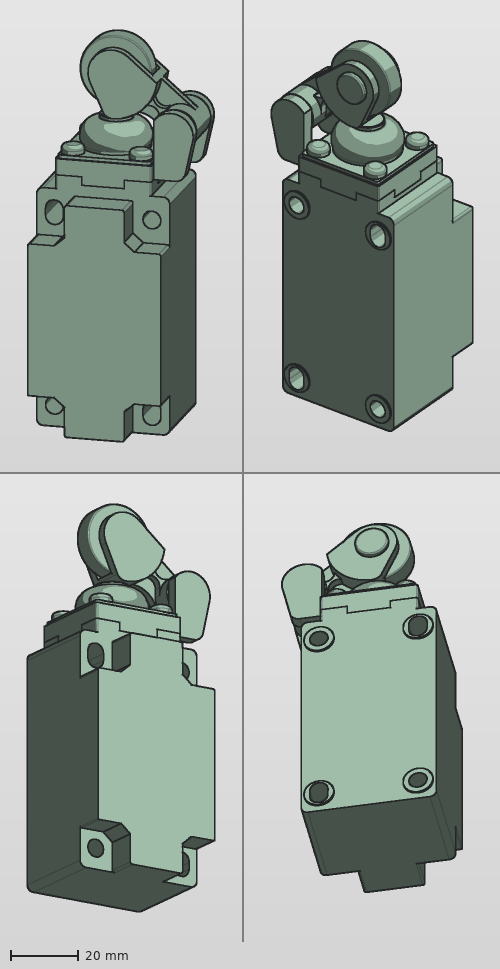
import cadquery as cq
import math


HOUSING_WIDTH = 41.0
HOUSING_HEIGHT = 74.0
HOUSING_CORNER = 2.0
BACK_Y = 14.8
BODY_FRONT_Y = -BACK_Y
COVER_FRONT_Y = -24.8

COVER_TOP = 72.0
COVER_NECK_WIDTH = 18.4
COVER_LEDGE_LOW = 12.0
COVER_LEDGE_HIGH = 59.3
COVER_BEVEL_WIDTH = 3.2
COVER_BEVEL_HEIGHT = 2.7
COVER_ROUNDING = 0.7
COVER_LOW_LEDGE_ROUNDING = 0.4

HOLE_X = 15.0
HOLE_LOW_Z = 6.6
HOLE_HIGH_Z = 66.6
HOLE_DIAMETER = 5.5
SLOT_LENGTH = 7.6
PAD_DIAMETER = 9.1
PAD_HEIGHT = 0.6

NECK_DEPTH = BACK_Y - BODY_FRONT_Y
NECK_WIDTH = NECK_DEPTH
NECK_ROUNDING = 0.5
JOINT_Z = 78.3
TONGUE_WIDTH = 13.1
TONGUE_HEIGHT = 2.6

HEAD_TOP = 83.3
PLATE_SIZE = 28.4
PLATE_TOP = 84.3
PLATE_CORNER = 1.0
SCREW_PITCH = 21.0
SCREW_RADIUS = 3.5
SCREW_TOP = 87.1
SCREW_ROUNDING = 1.4
DOME_BASE_Z = 85.3
DOME_TOP = 93.2
DOME_RADIUS = 11.0
DOME_CURVE_RADIUS = 5.6
PLUNGER_RADIUS = 5.0
PLUNGER_TOP = 94.5
PLUNGER_CHAMFER = 0.2

HUB_X = 20.6
HUB_Z = 92.9
HUB_RADIUS = 6.3
HUB_HALF_LENGTH = 7.9
EAR_INNER_Y = 8.1
EAR_OUTER_Y = 11.9
EAR_SIDE_TILT = 12.5
EAR_TOP_X = 20.2
EAR_TOP_Z = 92.5
EAR_TOP_RADIUS = 6.8
EAR_FOOT_ROUNDING = 3.1

ROLLER_X = 0.6
ROLLER_Z = 108.3
ROLLER_RADIUS = 11.0
ROLLER_WIDTH = 6.1
ROLLER_ROUNDING = 0.4
PIN_RADIUS = 3.2
PIN_HEAD_RADIUS = 5.0
PIN_HEAD_HEIGHT = 1.5
PIN_HEAD_ROUNDING = 0.5
FORK_WIDTH = 13.2
FORK_SLOT_WIDTH = 7.6
FORK_SLOT_RADIUS = 11.7
FORK_TIP_RADIUS = 7.5
FORK_END_RADIUS = 13.8
FORK_LEFT_TILT = 24.0
FORK_TOE_ROUNDING = 3.0

WEB_THICKNESS = 2.9
WEB_ARCH_X = 6.2
WEB_ARCH_Z = 86.6
WEB_ARCH_RADIUS = 9.1
LINK_WIDTH = 7.8
LINK_UPPER_X = 15.7
LINK_UPPER_Z = 101.4
LINK_UPPER_RADIUS = 3.2
LINK_UPPER_END_ANGLE = 294.0
LINK_LOWER_X = 11.2
LINK_LOWER_Z = 95.5
LINK_LOWER_RADIUS = 3.1
LINK_OVERLAP = 1.2


def polar(x, z, radius, degrees):
    """Point at an angle on a circle in the XZ plane."""
    angle = math.radians(degrees)
    return (x + radius * math.cos(angle), z + radius * math.sin(angle))


def front_plane(y):
    """XZ sketch plane at the given Y; its extrusions run toward -Y."""
    return cq.Workplane("XZ", origin=(0, y, 0))


def disc(x, z, radius, y_low, y_high):
    """Cylinder along Y."""
    return front_plane(y_high).center(x, z).circle(radius).extrude(y_high - y_low)


def neck_block(z_low, z_high):
    """Square block with rounded upright edges, shared by the housing neck and the head."""
    return (
        cq.Workplane("XY", origin=(0, 0, z_low))
        .rect(NECK_WIDTH, NECK_DEPTH)
        .extrude(z_high - z_low)
        .edges("|Z")
        .fillet(NECK_ROUNDING)
    )


def cross_tongue():
    """Two crossed bars that key the head into the neck of the housing."""
    plane = cq.Workplane("XY", origin=(0, 0, JOINT_Z))
    along_x = plane.rect(NECK_WIDTH, TONGUE_WIDTH).extrude(-TONGUE_HEIGHT)
    along_y = plane.rect(TONGUE_WIDTH, NECK_DEPTH).extrude(-TONGUE_HEIGHT)
    return along_x.union(along_y)


def housing_cover():
    """Raised front of the housing, cut back at its four corners around the mounting holes."""
    half = HOUSING_WIDTH / 2
    neck = COVER_NECK_WIDTH / 2
    bevel_x = neck + COVER_BEVEL_WIDTH
    bevel_low = COVER_LEDGE_LOW - COVER_BEVEL_HEIGHT
    bevel_high = COVER_LEDGE_HIGH + COVER_BEVEL_HEIGHT
    right_side = [
        (neck, 0),
        (neck, bevel_low),
        (bevel_x, COVER_LEDGE_LOW),
        (half, COVER_LEDGE_LOW),
        (half, COVER_LEDGE_HIGH),
        (bevel_x, COVER_LEDGE_HIGH),
        (neck, bevel_high),
        (neck, COVER_TOP),
    ]
    left_side = [(-x, z) for x, z in reversed(right_side)]
    cover = (
        front_plane(BODY_FRONT_Y)
        .polyline(right_side + left_side)
        .close()
        .extrude(BODY_FRONT_Y - COVER_FRONT_Y)
    )
    end_edges = cover.edges("|Y and (<Z or >Z)").vals()
    ledge_edges = cover.edges("|Y and (<X or >X)")
    high_ledge_edges = ledge_edges.edges(">Z").vals()
    cover = cover.newObject(end_edges + high_ledge_edges).fillet(COVER_ROUNDING)
    for x in (-half, half):
        corner = cq.selectors.NearestToPointSelector((x, BODY_FRONT_Y, COVER_LEDGE_LOW))
        cover = cover.edges("|Y").edges(corner).fillet(COVER_LOW_LEDGE_ROUNDING)
    return cover


def mounting_holes():
    """Two round holes and two upright slots on opposite diagonals, through the whole depth."""
    depth = BACK_Y + PAD_HEIGHT - BODY_FRONT_Y
    plane = front_plane(BACK_Y + PAD_HEIGHT)
    round_holes = (
        plane.pushPoints([(-HOLE_X, HOLE_LOW_Z), (HOLE_X, HOLE_HIGH_Z)])
        .circle(HOLE_DIAMETER / 2)
        .extrude(depth)
    )
    slots = (
        plane.pushPoints([(-HOLE_X, HOLE_HIGH_Z), (HOLE_X, HOLE_LOW_Z)])
        .slot2D(SLOT_LENGTH, HOLE_DIAMETER, 90)
        .extrude(depth)
    )
    return round_holes.union(slots)


def make_housing():
    body = (
        front_plane(BACK_Y)
        .center(0, HOUSING_HEIGHT / 2)
        .rect(HOUSING_WIDTH, HOUSING_HEIGHT)
        .extrude(BACK_Y - BODY_FRONT_Y)
        .edges("|Y")
        .fillet(HOUSING_CORNER)
    )
    housing = body.union(neck_block(HOUSING_HEIGHT / 2, JOINT_Z)).union(housing_cover())
    for x in (-HOLE_X, HOLE_X):
        for z in (HOLE_LOW_Z, HOLE_HIGH_Z):
            housing = housing.union(disc(x, z, PAD_DIAMETER / 2, BACK_Y, BACK_Y + PAD_HEIGHT))
    return housing.cut(cross_tongue()).cut(mounting_holes())


def screw_heads():
    return (
        cq.Workplane("XY", origin=(0, 0, PLATE_TOP))
        .rect(SCREW_PITCH, SCREW_PITCH, forConstruction=True)
        .vertices()
        .circle(SCREW_RADIUS)
        .extrude(SCREW_TOP - PLATE_TOP)
        .faces(">Z")
        .edges()
        .fillet(SCREW_ROUNDING)
    )


def dome():
    """Flat-topped dome on a short collar; its bulge is a circular arc turned about the Z axis."""
    curve_x = DOME_RADIUS - DOME_CURVE_RADIUS
    curve_z = DOME_TOP - DOME_CURVE_RADIUS
    base_angle = math.asin((DOME_BASE_Z - curve_z) / DOME_CURVE_RADIUS)
    base_radius = curve_x + DOME_CURVE_RADIUS * math.cos(base_angle)
    return (
        cq.Workplane("XZ")
        .moveTo(0, PLATE_TOP)
        .lineTo(base_radius, PLATE_TOP)
        .lineTo(base_radius, DOME_BASE_Z)
        .threePointArc((DOME_RADIUS, curve_z), (curve_x, DOME_TOP))
        .lineTo(0, DOME_TOP)
        .close()
        .revolve(360, (0, 0, 0), (0, 1, 0))
    )


def hinge_ear(y_high):
    """Upright ear beside the lever hub, under one arc from its inner side to its tilted outer side."""
    inner_x = NECK_WIDTH / 2
    inner_angle = math.degrees(math.acos((inner_x - EAR_TOP_X) / EAR_TOP_RADIUS))
    side_point = polar(EAR_TOP_X, EAR_TOP_Z, EAR_TOP_RADIUS, -EAR_SIDE_TILT)
    foot_x = side_point[0] - (side_point[1] - JOINT_Z) * math.tan(math.radians(EAR_SIDE_TILT))
    ear = (
        front_plane(y_high)
        .moveTo(inner_x, JOINT_Z)
        .lineTo(foot_x, JOINT_Z)
        .lineTo(*side_point)
        .threePointArc(
            polar(EAR_TOP_X, EAR_TOP_Z, EAR_TOP_RADIUS, (inner_angle - EAR_SIDE_TILT) / 2),
            polar(EAR_TOP_X, EAR_TOP_Z, EAR_TOP_RADIUS, inner_angle),
        )
        .close()
        .extrude(EAR_OUTER_Y - EAR_INNER_Y)
    )
    foot_edge = cq.selectors.NearestToPointSelector((foot_x, y_high, JOINT_Z))
    return ear.edges("|Y").edges(foot_edge).fillet(EAR_FOOT_ROUNDING)


def make_head():
    plate = (
        cq.Workplane("XY", origin=(0, 0, HEAD_TOP))
        .rect(PLATE_SIZE, PLATE_SIZE)
        .extrude(PLATE_TOP - HEAD_TOP)
        .edges("|Z")
        .fillet(PLATE_CORNER)
    )
    plunger = (
        cq.Workplane("XY", origin=(0, 0, DOME_TOP))
        .circle(PLUNGER_RADIUS)
        .extrude(PLUNGER_TOP - DOME_TOP)
        .faces(">Z")
        .chamfer(PLUNGER_CHAMFER)
    )
    head = neck_block(JOINT_Z, HEAD_TOP).union(cross_tongue()).union(plate)
    head = head.union(screw_heads()).union(dome()).union(plunger)
    for y_high in (EAR_OUTER_Y, -EAR_INNER_Y):
        head = head.union(hinge_ear(y_high))
    return head


def arm_top_angle():
    """Direction, from either axis, of the points where one line touches fork tip and hub."""
    run = HUB_X - ROLLER_X
    rise = HUB_Z - ROLLER_Z
    slope = math.atan2(rise, run)
    lean = math.acos((FORK_TIP_RADIUS - HUB_RADIUS) / math.hypot(run, rise))
    return math.degrees(slope + lean)


def fork_lobe():
    """Solid lobe of the fork: a round tip that widens to an arc about the roller axis."""
    top_angle = arm_top_angle()
    left_angle = 180 + FORK_LEFT_TILT
    spread = math.degrees(math.acos(FORK_TIP_RADIUS / FORK_END_RADIUS))
    end_top_angle = top_angle - spread
    end_left_angle = left_angle + spread - 360
    end_middle_angle = (end_top_angle + end_left_angle) / 2
    toe = polar(ROLLER_X, ROLLER_Z, FORK_END_RADIUS, end_left_angle)
    lobe = (
        front_plane(FORK_WIDTH / 2)
        .moveTo(*polar(ROLLER_X, ROLLER_Z, FORK_TIP_RADIUS, top_angle))
        .lineTo(*polar(ROLLER_X, ROLLER_Z, FORK_END_RADIUS, end_top_angle))
        .threePointArc(polar(ROLLER_X, ROLLER_Z, FORK_END_RADIUS, end_middle_angle), toe)
        .lineTo(*polar(ROLLER_X, ROLLER_Z, FORK_TIP_RADIUS, left_angle))
        .threePointArc(
            polar(ROLLER_X, ROLLER_Z, FORK_TIP_RADIUS, (top_angle + left_angle) / 2),
            polar(ROLLER_X, ROLLER_Z, FORK_TIP_RADIUS, top_angle),
        )
        .close()
        .extrude(FORK_WIDTH)
    )
    toe_edge = cq.selectors.NearestToPointSelector((toe[0], 0, toe[1]))
    return lobe.edges("|Y").edges(toe_edge).fillet(FORK_TOE_ROUNDING)


def arm_web():
    """Thin rib: straight along the top, arched over the dome below."""
    top_angle = arm_top_angle()
    hub_left_x = HUB_X - HUB_RADIUS
    arch_end_angle = math.degrees(math.acos((hub_left_x - WEB_ARCH_X) / WEB_ARCH_RADIUS))
    return (
        front_plane(WEB_THICKNESS / 2)
        .moveTo(ROLLER_X, ROLLER_Z)
        .lineTo(*polar(ROLLER_X, ROLLER_Z, FORK_TIP_RADIUS, top_angle))
        .lineTo(*polar(HUB_X, HUB_Z, HUB_RADIUS, top_angle))
        .lineTo(HUB_X, HUB_Z)
        .lineTo(*polar(WEB_ARCH_X, WEB_ARCH_Z, WEB_ARCH_RADIUS, arch_end_angle))
        .threePointArc(
            polar(WEB_ARCH_X, WEB_ARCH_Z, WEB_ARCH_RADIUS, (arch_end_angle + 90) / 2),
            (WEB_ARCH_X, WEB_ARCH_Z + WEB_ARCH_RADIUS),
        )
        .close()
        .extrude(WEB_THICKNESS)
    )


def arm_link():
    """Wider link from fork to hub, hollowed by one round groove above and one below."""
    hub_left_x = HUB_X - HUB_RADIUS
    upper_end = polar(LINK_UPPER_X, LINK_UPPER_Z, LINK_UPPER_RADIUS, LINK_UPPER_END_ANGLE)
    groove_roof = LINK_LOWER_Z + LINK_LOWER_RADIUS
    return (
        front_plane(LINK_WIDTH / 2)
        .moveTo(LINK_UPPER_X - LINK_UPPER_RADIUS, LINK_UPPER_Z)
        .threePointArc(
            polar(LINK_UPPER_X, LINK_UPPER_Z, LINK_UPPER_RADIUS, 225),
            upper_end,
        )
        .lineTo(upper_end[0], HUB_Z)
        .lineTo(hub_left_x, HUB_Z)
        .lineTo(LINK_LOWER_X + LINK_LOWER_RADIUS, LINK_LOWER_Z)
        .threePointArc(
            polar(LINK_LOWER_X, LINK_LOWER_Z, LINK_LOWER_RADIUS, 45),
            (LINK_LOWER_X, groove_roof),
        )
        .lineTo(LINK_LOWER_X - LINK_OVERLAP, groove_roof)
        .close()
        .extrude(LINK_WIDTH)
    )


def make_lever():
    half_fork = FORK_WIDTH / 2
    half_slot = FORK_SLOT_WIDTH / 2
    hub = disc(HUB_X, HUB_Z, HUB_RADIUS, -HUB_HALF_LENGTH, HUB_HALF_LENGTH)
    slot = disc(ROLLER_X, ROLLER_Z, FORK_SLOT_RADIUS, -half_slot, half_slot)
    pin = disc(ROLLER_X, ROLLER_Z, PIN_RADIUS, -half_fork, half_fork)
    pin_head = disc(ROLLER_X, ROLLER_Z, PIN_HEAD_RADIUS, half_fork, half_fork + PIN_HEAD_HEIGHT)
    pin_head = pin_head.faces(">Y").edges().fillet(PIN_HEAD_ROUNDING)
    arm = fork_lobe().union(arm_web()).union(arm_link()).union(hub)
    return arm.cut(slot).union(pin).union(pin_head)


def make_roller():
    half_width = ROLLER_WIDTH / 2
    wheel = disc(ROLLER_X, ROLLER_Z, ROLLER_RADIUS, -half_width, half_width)
    wheel = wheel.edges().fillet(ROLLER_ROUNDING)
    return wheel.cut(disc(ROLLER_X, ROLLER_Z, PIN_RADIUS, -half_width, half_width))


housing = make_housing()
head = make_head()
lever = make_lever()
roller = make_roller()

result = cq.Compound.makeCompound([housing.val(), head.val(), lever.val(), roller.val()])